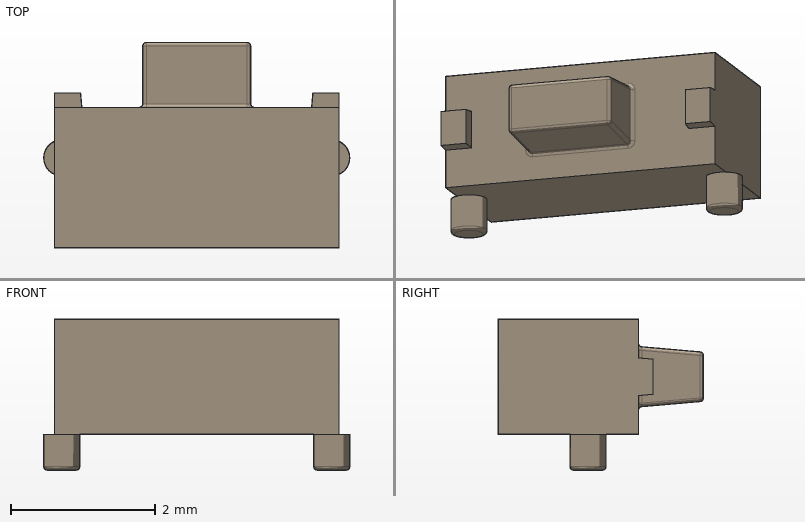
import cadquery as cq
import math

overall_width = 4.25
body_width = 3.952
body_depth = 1.95
body_height = 1.602
draft_angle = 5.0

pin_diameter = 0.5
pin_length = 0.497
pin_edge_radius = 0.05
pin_from_front = 1.25

button_width = 1.5
button_base_height = 0.84
button_length = 0.9
button_radius = 0.05

tab_base_width = 0.382
tab_base_height = 0.523
tab_length = 0.2

back_y = body_depth / 2
pin_x = (overall_width - pin_diameter) / 2
pin_y = pin_from_front - body_depth / 2


def draft_inset(length):
    """Sideways shift of a drafted face over a given length."""
    return length * math.tan(math.radians(draft_angle))


def make_button():
    """Button narrowing in height toward its tip, with rounded edges."""
    base_half = button_base_height / 2
    tip_half = base_half - draft_inset(button_length)
    tip_y = back_y + button_length
    profile = [
        (back_y, -base_half),
        (tip_y, -tip_half),
        (tip_y, tip_half),
        (back_y, base_half),
    ]
    button = cq.Workplane("YZ").polyline(profile).close().extrude(button_width / 2, both=True)
    return button.edges("not(<Y)").fillet(button_radius)


def make_tab(side):
    """Tab flush with the body end; its other three sides are drafted."""
    inset = draft_inset(tab_length)
    outer_x = side * body_width / 2
    tip_width = tab_base_width - inset
    tip_height = tab_base_height - 2 * inset
    return (
        cq.Workplane("XZ", origin=(0, back_y, 0))
        .center(outer_x - side * tab_base_width / 2, 0)
        .rect(tab_base_width, tab_base_height)
        .workplane(offset=-tab_length)
        .center(side * inset / 2, 0)
        .rect(tip_width, tip_height)
        .loft(ruled=True)
    )


def make_pin(side):
    """Round pin with a rounded lower rim."""
    return (
        cq.Workplane("XY", origin=(side * pin_x, pin_y, -body_height / 2))
        .circle(pin_diameter / 2)
        .extrude(-pin_length)
        .faces("<Z")
        .edges()
        .fillet(pin_edge_radius)
    )


result = cq.Workplane("XY").box(body_width, body_depth, body_height).union(make_button())

root_reach = 0.005
root_box = cq.selectors.BoxSelector(
    (-button_width, back_y - root_reach, -button_base_height / 2 - root_reach),
    (button_width, back_y + root_reach, button_base_height / 2 + root_reach),
    boundingbox=True,
)
result = result.edges(root_box).fillet(button_radius)

for side in (-1, 1):
    result = result.union(make_tab(side)).union(make_pin(side))